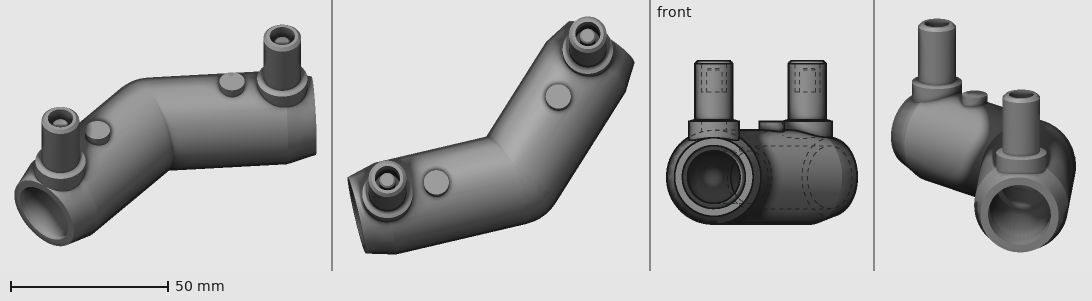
import cadquery as cq
import math

bend_angle = 45.0
overall_length = 97.6
overall_height = 52.0
body_diameter = 30.0
mouth_diameter = 25.0
bend_cosine = math.cos(math.radians(bend_angle))
leg_length = (overall_length - mouth_diameter / 2 * bend_cosine) / (1 + bend_cosine)
taper_length = 9.3
bore_diameter = 16.7
socket_diameter = 20.0
socket_depth = 36.0

pad_diameter = 8.0
pad_distance = 26.0
shoulder_height = 17.7

collar_diameter = 16.0
collar_cone_height = 0.6
near_terminal_distance = leg_length - collar_diameter / 2
far_terminal_distance = 42.0
terminal_diameter = 12.0
terminal_top = overall_height - body_diameter / 2
terminal_chamfer = 1.0
well_diameter = 8.0
well_depth = 10.0
contact_diameter = 5.0
contact_recess = 2.4
contact_chamfer = 0.5


def revolve_about_x(profile):
    return cq.Workplane("XY").polyline(profile).close().revolve(360, (0, 0), (1, 0))


def vertical_cylinder(diameter, bottom, top, distance):
    return cq.Workplane("XY", origin=(distance, 0, bottom)).circle(diameter / 2).extrude(top - bottom)


def leg_body(terminal_distance):
    """Tapered tube blank along +X, carrying its pad and terminal collar."""
    body_radius = body_diameter / 2
    tube = revolve_about_x([
        (0, 0),
        (0, body_radius),
        (leg_length - taper_length, body_radius),
        (leg_length, mouth_diameter / 2),
        (leg_length, 0),
    ])
    pad = vertical_cylinder(pad_diameter, 0, shoulder_height, pad_distance)
    return tube.union(pad).union(terminal(terminal_distance))


def terminal(distance):
    """Upright sleeve on a collar, with a recessed contact pin at its centre."""
    collar = vertical_cylinder(collar_diameter, 0, shoulder_height, distance)
    cone = cq.Workplane(cq.Solid.makeCone(
        collar_diameter / 2,
        terminal_diameter / 2,
        collar_cone_height,
        pnt=cq.Vector(distance, 0, shoulder_height),
    ))
    sleeve = vertical_cylinder(terminal_diameter, shoulder_height, terminal_top, distance)
    sleeve = sleeve.faces(">Z").chamfer(terminal_chamfer)
    well_floor = terminal_top - well_depth
    well = vertical_cylinder(well_diameter, well_floor, terminal_top, distance)
    contact = vertical_cylinder(contact_diameter, well_floor, terminal_top - contact_recess, distance)
    contact = contact.faces(">Z").chamfer(contact_chamfer)
    return collar.union(cone).union(sleeve).cut(well).union(contact)


def leg_bore():
    """Stepped bore along +X, widening to a socket at the mouth."""
    bore_radius = bore_diameter / 2
    socket_radius = socket_diameter / 2
    socket_start = leg_length - socket_depth
    return revolve_about_x([
        (0, 0),
        (0, bore_radius),
        (socket_start, bore_radius),
        (socket_start, socket_radius),
        (leg_length, socket_radius),
        (leg_length, 0),
    ])


def elbow(near_leg, far_leg, diameter):
    """Two legs meeting at the bend, with a ball rounding the outside of the joint."""
    shape = cq.Workplane("XY").sphere(diameter / 2)
    for leg, direction in ((near_leg, -90), (far_leg, 90 - bend_angle)):
        shape = shape.union(leg.rotate((0, 0, 0), (0, 0, 1), direction))
    return shape


body = elbow(leg_body(near_terminal_distance), leg_body(far_terminal_distance), body_diameter)
bore = elbow(leg_bore(), leg_bore(), bore_diameter)
result = body.cut(bore)